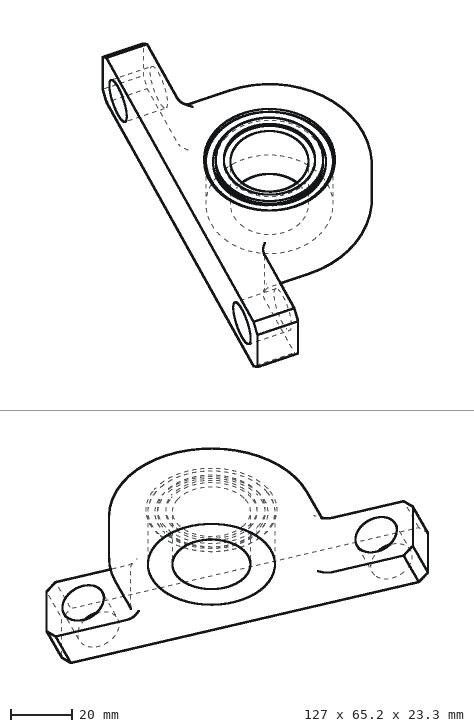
import cadquery as cq

base_length = 127.0
base_depth = 14.5
height = 23.0
base_chamfer = 3.2
bolt_hole_diameter = 14.4
bolt_hole_spacing = 101.6

bore_centre_y = 31.8
arch_radius = 33.4
arch_edge_round = 3.0
corner_fillet = 3.0
trim_allowance = 6.4

seat_radius = 20.7
seat_chamfer = 0.6

bore_radius = 12.7
race_radius = 14.9
shield_radius = 17.5
bead_inner_radius = 18.4
race_depth = 0.8
shield_rise = 0.3
bead_radius = (seat_radius - bead_inner_radius) / 2


def make_arch():
    """Upright with a semicircular end and rounded rims, starting inside the base."""
    arch = (
        cq.Workplane("XY")
        .moveTo(-arch_radius, 0)
        .lineTo(-arch_radius, bore_centre_y)
        .threePointArc((0, bore_centre_y + arch_radius), (arch_radius, bore_centre_y))
        .lineTo(arch_radius, 0)
        .close()
        .extrude(height)
    )
    rims = arch.faces("<Z or >Z").edges("not <Y")
    return rims.fillet(arch_edge_round)


def make_blended_body():
    """Base and arch, with the rounded arch blended into the back face of the base.

    The base starts over-tall, so that the blend follows the arch rim all the way
    round; a slab of the final height then trims both.
    """
    tall_base = (
        cq.Workplane("XY")
        .box(base_length, base_depth, height + 2 * trim_allowance, centered=(True, False, False))
        .translate((0, 0, -trim_allowance))
    )
    margin = 0.1
    junction = cq.selectors.BoxSelector(
        (-arch_radius - margin, base_depth - margin, -margin),
        (arch_radius + margin, base_depth + margin, height + margin),
    )
    blended = tall_base.union(make_arch()).edges(junction).fillet(corner_fillet)
    slab_depth = bore_centre_y + arch_radius
    slab = cq.Workplane("XY").box(base_length, slab_depth, height, centered=(True, False, False))
    return blended.intersect(slab.edges("|Y").chamfer(base_chamfer))


def cut_bolt_holes(body):
    """Two plain holes through the base along Y."""
    holes = (
        cq.Workplane("XZ")
        .pushPoints([(side * bolt_hole_spacing / 2, height / 2) for side in (-1, 1)])
        .circle(bolt_hole_diameter / 2)
        .extrude(-base_depth)
    )
    return body.cut(holes)


def cut_bearing_seat(body):
    """Through bore with a small lead-in chamfer at the top."""
    seat = cq.Workplane("XY").center(0, bore_centre_y).circle(seat_radius).extrude(height)
    lead_in = cq.Solid.makeCone(
        seat_radius,
        seat_radius + seat_chamfer,
        seat_chamfer,
        pnt=cq.Vector(0, bore_centre_y, height - seat_chamfer),
    )
    return body.cut(seat).cut(cq.Workplane(lead_in))


def make_housing():
    body = make_blended_body()
    return cut_bearing_seat(cut_bolt_holes(body))


def make_bearing():
    """Revolved ring: sunken race, raised shield, groove and half-round outer bead."""
    groove_z = height - bead_radius
    shield_z = height + shield_rise
    race_z = height - race_depth
    return (
        cq.Workplane("XZ")
        .moveTo(bore_radius, 0)
        .lineTo(seat_radius, 0)
        .lineTo(seat_radius, groove_z)
        .threePointArc((seat_radius - bead_radius, height), (bead_inner_radius, groove_z))
        .lineTo(shield_radius, groove_z)
        .lineTo(shield_radius, shield_z)
        .lineTo(race_radius, shield_z)
        .lineTo(race_radius, race_z)
        .lineTo(bore_radius, race_z)
        .close()
        .revolve(360, (0, 0, 0), (0, 1, 0))
        .translate((0, bore_centre_y, 0))
    )


housing = make_housing()
bearing = make_bearing()
result = cq.Compound.makeCompound([housing.val(), bearing.val()])